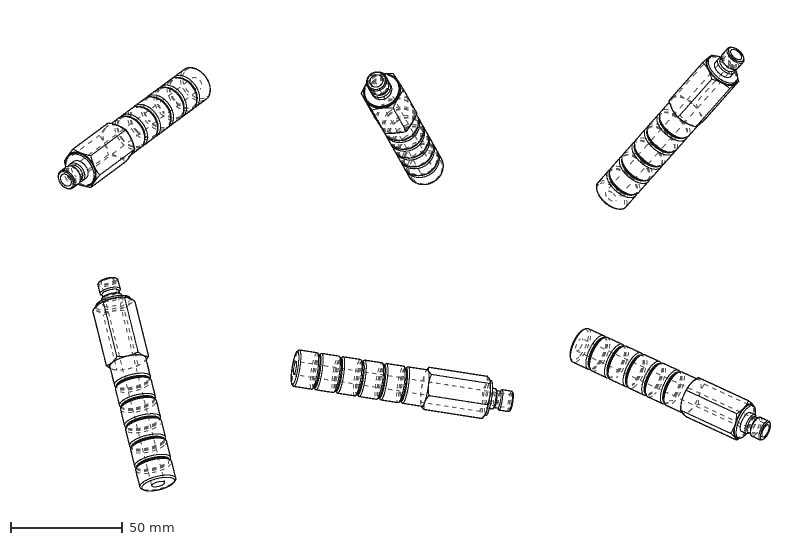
import cadquery as cq
import math

overall_length = 100.0
bore_diameter = 6.0

spigot_diameter = 9.4
spigot_length = 10.5
spigot_tip_chamfer = 0.5
neck_depth = 0.8
neck_start = 5.0
neck_end = 8.0
neck_bevel = 0.6

collar_diameter = 16.0
collar_length = 1.0

hex_across_flats = 17.0
hex_end_y = 40.0
hex_chamfer_angle = math.radians(30)

grip_diameter = 16.7
grip_end_chamfer = 0.75
groove_count = 5
groove_pitch = 10.0
groove_width = 2.0
groove_floor_width = 0.5
groove_depth = 0.75

hex_start_y = spigot_length + collar_length
hex_across_corners = hex_across_flats / math.cos(math.pi / 6)

profile_plane = cq.Plane(origin=(0, 0, 0), xDir=(-1, 0, 0), normal=(0, 0, -1))


def revolve_profile(points):
    """Turn a closed (radius, y) outline about the Y axis."""
    return cq.Workplane(profile_plane).polyline(points).close().revolve(360, (0, 0), (0, 1))


def cylinder(diameter, start_y, end_y):
    """Cylinder on the Y axis."""
    radius = diameter / 2
    return revolve_profile([(0, start_y), (radius, start_y), (radius, end_y), (0, end_y)])


def make_spigot():
    radius = spigot_diameter / 2
    neck_radius = radius - neck_depth
    return revolve_profile([
        (0, 0),
        (radius - spigot_tip_chamfer, 0),
        (radius, spigot_tip_chamfer),
        (radius, neck_start),
        (neck_radius, neck_start + neck_bevel),
        (neck_radius, neck_end - neck_bevel),
        (radius, neck_end),
        (radius, spigot_length),
        (0, spigot_length),
    ])


def make_hexagon():
    """Hexagonal prism whose corners are cut back at both ends by a cone that just meets the flats."""
    length = hex_end_y - hex_start_y
    prism = (
        cq.Workplane("XZ", origin=(0, hex_end_y, 0))
        .polygon(6, hex_across_corners)
        .extrude(length)
    )
    face_radius = hex_across_flats / 2
    corner_radius = hex_across_corners / 2
    chamfer_length = (corner_radius - face_radius) * math.tan(hex_chamfer_angle)
    clearance = 1.0
    envelope_radius = corner_radius + clearance
    cone_length = chamfer_length + clearance * math.tan(hex_chamfer_angle)
    envelope = revolve_profile([
        (0, hex_start_y),
        (face_radius, hex_start_y),
        (envelope_radius, hex_start_y + cone_length),
        (envelope_radius, hex_end_y - cone_length),
        (face_radius, hex_end_y),
        (0, hex_end_y),
    ])
    return prism.intersect(envelope)


def make_grip():
    """Grip outline from the hexagon to the free end, dipping in at each ring groove."""
    radius = grip_diameter / 2
    floor_radius = radius - groove_depth
    points = [(0, hex_end_y), (radius, hex_end_y)]
    for index in range(groove_count, 0, -1):
        center_y = overall_length - index * groove_pitch
        points += [
            (radius, center_y - groove_width / 2),
            (floor_radius, center_y - groove_floor_width / 2),
            (floor_radius, center_y + groove_floor_width / 2),
            (radius, center_y + groove_width / 2),
        ]
    points += [
        (radius, overall_length - grip_end_chamfer),
        (radius - grip_end_chamfer, overall_length),
        (0, overall_length),
    ]
    return revolve_profile(points)


collar = cylinder(collar_diameter, spigot_length, hex_start_y)
bore = cylinder(bore_diameter, 0, overall_length)

result = make_spigot().union(collar).union(make_hexagon()).union(make_grip()).cut(bore)